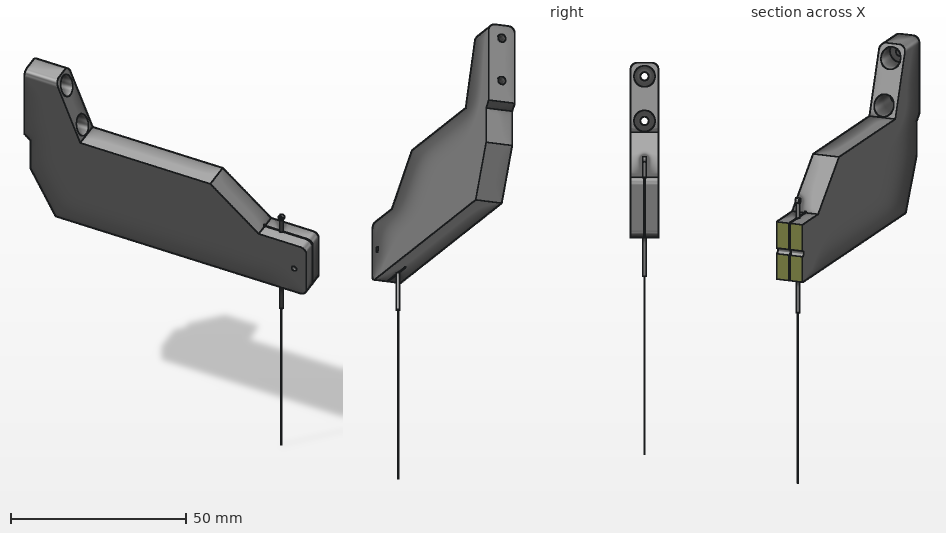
import cadquery as cq

LENGTH = 90.0
WIDTH = 8.0
TOP_Z = 111.8
BOTTOM_Z = 61.8
SHELF_Z = 91.9
TONGUE_Z = 79.0
POST_TOP_X = 10.1
POST_FOOT_X = 17.9
SHELF_END_X = 59.4
TONGUE_START_X = 74.8
HEEL_X = 10.1
HEEL_Z = 76.7
STEP = 2.0
STEP_TOP_Z = 88.8
STEP_BOTTOM_Z = 87.0
CORNER_RADIUS = 2.0

SCREW_DIAMETER = 2.3
SCREW_HEAD_DIAMETER = 6.0
SCREW_SEAT_X = 5.0
SCREW_HEIGHTS = (107.9, 95.1)

CLAMP_DIAMETER = 1.6
CLAMP_X = 86.1
CLAMP_Z = 70.3
SLIT_WIDTH = 0.3
SLIT_START_X = 74.5

PROBE_X = 80.0
SLEEVE_DIAMETER = 1.1
SLEEVE_BOTTOM_Z = 50.8
WIRE_DIAMETER = 0.28
EYE_DIAMETER = 1.6
EYE_HOLE_DIAMETER = 0.7
EYE_Z = 84.1


def vertical_rod(diameter, bottom_z, top_z):
    """Round rod on the probe axis between two heights."""
    return (
        cq.Workplane("XY", origin=(PROBE_X, 0, bottom_z))
        .circle(diameter / 2)
        .extrude(top_z - bottom_z)
    )


def cross_rod(diameter, x, z, length):
    """Round rod along Y, centred on the middle plane."""
    return (
        cq.Workplane("XZ", origin=(x, 0, z))
        .circle(diameter / 2)
        .extrude(length / 2, both=True)
    )


def screw_rod(diameter, start_x, end_x, z):
    """Round rod along X at a given height."""
    return (
        cq.Workplane("YZ", origin=(start_x, 0, z))
        .circle(diameter / 2)
        .extrude(end_x - start_x)
    )


def make_bracket():
    outline = [
        (0, TOP_Z),
        (POST_TOP_X, TOP_Z),
        (POST_FOOT_X, SHELF_Z),
        (SHELF_END_X, SHELF_Z),
        (TONGUE_START_X, TONGUE_Z),
        (LENGTH, TONGUE_Z),
        (LENGTH, BOTTOM_Z),
        (HEEL_X, BOTTOM_Z),
        (STEP, HEEL_Z),
        (STEP, STEP_BOTTOM_Z),
        (0, STEP_TOP_Z),
    ]
    bracket = cq.Workplane("XZ").polyline(outline).close().extrude(WIDTH / 2, both=True)

    bracket = bracket.faces(">X").edges("|Y").fillet(CORNER_RADIUS)
    bracket = bracket.faces(">Z").edges("|X").fillet(CORNER_RADIUS)

    for z in SCREW_HEIGHTS:
        bracket = bracket.cut(screw_rod(SCREW_DIAMETER, 0, POST_FOOT_X, z))
        bracket = bracket.cut(screw_rod(SCREW_HEAD_DIAMETER, SCREW_SEAT_X, POST_FOOT_X, z))

    bracket = bracket.cut(cross_rod(CLAMP_DIAMETER, CLAMP_X, CLAMP_Z, WIDTH))

    slit = cq.Workplane("XY").box(
        LENGTH - SLIT_START_X, SLIT_WIDTH, TOP_Z - BOTTOM_Z, centered=(False, True, False)
    )
    bracket = bracket.cut(slit.translate((SLIT_START_X, 0, BOTTOM_Z)))

    return bracket.cut(vertical_rod(SLEEVE_DIAMETER, BOTTOM_Z, TOP_Z))


def make_probe():
    wire = vertical_rod(WIRE_DIAMETER, 0, SLEEVE_BOTTOM_Z)
    sleeve = vertical_rod(SLEEVE_DIAMETER, SLEEVE_BOTTOM_Z, EYE_Z)
    eye = cross_rod(EYE_DIAMETER, PROBE_X, EYE_Z, SLEEVE_DIAMETER)
    eye_hole = cross_rod(EYE_HOLE_DIAMETER, PROBE_X, EYE_Z, SLEEVE_DIAMETER)
    return wire.union(sleeve).union(eye).cut(eye_hole)


bracket = make_bracket()
probe = make_probe()
result = cq.Compound.makeCompound([bracket.val(), probe.val()])